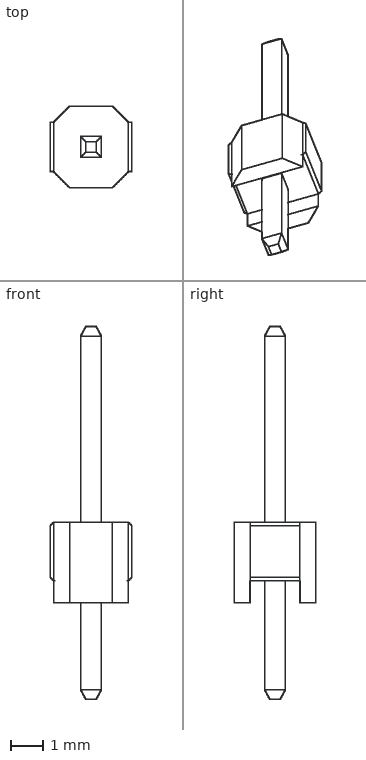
import cadquery as cq

pin_length = 11.6
pin_width = 0.65
tip_width = 0.32
tip_height = 0.3

housing_width = 2.54
housing_depth = 2.54
housing_height = 2.5
housing_bottom = 3.0
housing_top = housing_bottom + housing_height
corner_bevel = 0.5

pad_projection = 0.1
core_width = housing_width - 2 * pad_projection
pad_width = housing_depth - 2 * corner_bevel

channel_height = 0.68
channel_width = pad_width
channel_top = housing_bottom + channel_height


def tapered_tip(start_height, direction):
    """Pyramid frustum narrowing from the bar; direction is +1 (up) or -1 (down)."""
    return (
        cq.Workplane("XY", origin=(0, 0, start_height))
        .rect(pin_width, pin_width)
        .workplane(offset=direction * tip_height)
        .rect(tip_width, tip_width)
        .loft(ruled=True)
    )


def make_pin():
    bar = (
        cq.Workplane("XY", origin=(0, 0, tip_height))
        .rect(pin_width, pin_width)
        .extrude(pin_length - 2 * tip_height)
    )
    lower_tip = tapered_tip(tip_height, -1)
    upper_tip = tapered_tip(pin_length - tip_height, 1)
    return bar.union(lower_tip).union(upper_tip)


def make_core():
    return (
        cq.Workplane("XY", origin=(0, 0, housing_bottom))
        .rect(core_width, housing_depth)
        .extrude(housing_height)
        .edges("|Z")
        .chamfer(corner_bevel)
    )


def make_pads():
    """Both side pads as one bar across the core, sloped at 45 degrees above and below."""
    inner = core_width / 2
    outer = inner + pad_projection
    return (
        cq.Workplane("XZ")
        .moveTo(-inner, channel_top)
        .lineTo(inner, channel_top)
        .lineTo(outer, channel_top + pad_projection)
        .lineTo(outer, housing_top - pad_projection)
        .lineTo(inner, housing_top)
        .lineTo(-inner, housing_top)
        .lineTo(-outer, housing_top - pad_projection)
        .lineTo(-outer, channel_top + pad_projection)
        .close()
        .extrude(pad_width / 2, both=True)
    )


def make_channel():
    return (
        cq.Workplane("XY", origin=(0, 0, housing_bottom))
        .rect(core_width, channel_width)
        .extrude(channel_height)
    )


def make_pin_hole():
    return (
        cq.Workplane("XY", origin=(0, 0, housing_bottom))
        .rect(pin_width, pin_width)
        .extrude(housing_height)
    )


def make_housing():
    return make_core().union(make_pads()).cut(make_channel()).cut(make_pin_hole())


pin = make_pin()
housing = make_housing()

result = cq.Compound.makeCompound([housing.solids().val(), pin.solids().val()])